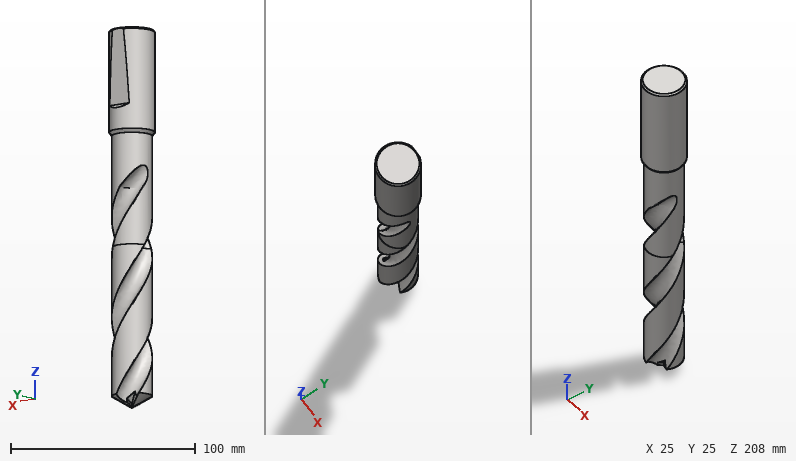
import cadquery as cq
import math

TOTAL_LENGTH = 208.0
CUTTING_LENGTH = 88.5
FLUTE_LENGTH = 120.5

OVERRUN = 2.0

DRILL_RADIUS = 11.0
POINT_ANGLE = 118.0
POINT_HEIGHT = DRILL_RADIUS / math.tan(math.radians(POINT_ANGLE / 2))

SHANK_RADIUS = 12.5
SHANK_LENGTH = 56.0
SHANK_BASE = TOTAL_LENGTH - SHANK_LENGTH
TOP_CHAMFER = 1.0
STEP_HEIGHT = 2.0

FLAT_TILT = 2.0
FLAT_LENGTH = 42.0
FLAT_TOP_DEPTH = 0.6
FLAT_END_DEPTH = FLAT_TOP_DEPTH + FLAT_LENGTH * math.tan(math.radians(FLAT_TILT))

FLUTE_COUNT = 2
FLUTE_PITCH = 110.0
FLUTE_RADIUS = 6.65
FLUTE_CENTRE = DRILL_RADIUS
FLUTE_START_ANGLE = 93.5
RUNOUT_RISE = 12.0
RUNOUT_DRIFT = 11.0
RUNOUT_LIFT = 3.0

GASH_LIP_ANGLE = -29.0
GASH_BACK_ANGLE = -90.0
GASH_CORE_RADIUS = 0.5
GASH_FLOOR_HEIGHT = 1.6
GASH_RISE_X = 1.1
GASH_RISE_Y = 0.6
GASH_REACH = 2 * DRILL_RADIUS
GASH_FLOOR_SPAN = 8 * GASH_REACH


def flute_angle(z):
    """Angle about Z of the first flute's centre at height z."""
    return FLUTE_START_ANGLE + 360.0 * z / FLUTE_PITCH


def flute_cutters():
    """Helix and runout of one right-hand flute; the runout leaves the drill in a straight line."""
    helix_height = FLUTE_LENGTH + OVERRUN
    helix = (
        cq.Workplane("XY")
        .pushPoints([(FLUTE_CENTRE, 0)])
        .circle(FLUTE_RADIUS)
        .twistExtrude(helix_height, 360.0 * helix_height / FLUTE_PITCH)
        .rotate((0, 0, 0), (0, 0, 1), flute_angle(-OVERRUN))
        .translate((0, 0, -OVERRUN))
    )
    runout = (
        cq.Workplane("XY")
        .center(FLUTE_CENTRE, 0)
        .circle(FLUTE_RADIUS)
        .workplane(offset=RUNOUT_RISE)
        .center(RUNOUT_LIFT, RUNOUT_DRIFT)
        .circle(FLUTE_RADIUS)
        .loft(ruled=True)
        .rotate((0, 0, 0), (0, 0, 1), flute_angle(FLUTE_LENGTH))
        .translate((0, 0, FLUTE_LENGTH))
    )
    return [helix, runout]


def cut_around_axis(body, cutters):
    """Remove each cutter once per flute, evenly spaced about Z."""
    for index in range(FLUTE_COUNT):
        for cutter in cutters:
            body = body.cut(cutter.rotate((0, 0, 0), (0, 0, 1), 360.0 * index / FLUTE_COUNT))
    return body


def polar(radius, angle):
    """X and Y of a point at the given radius and angle about Z."""
    return radius * math.cos(math.radians(angle)), radius * math.sin(math.radians(angle))


def gash_cutter():
    """Upright wedge beside the axis, closed above by a floor that rises outwards."""
    apex = polar(GASH_CORE_RADIUS, (GASH_LIP_ANGLE + GASH_BACK_ANGLE) / 2)
    back_x, back_y = polar(GASH_REACH, GASH_BACK_ANGLE)
    lip_x, lip_y = polar(GASH_REACH, GASH_LIP_ANGLE)
    wedge = (
        cq.Workplane("XY")
        .moveTo(*apex)
        .line(back_x, back_y)
        .line(lip_x, lip_y)
        .line(-back_x, -back_y)
        .close()
        .extrude(GASH_REACH)
    )
    floor = cq.Plane(
        origin=(0, 0, GASH_FLOOR_HEIGHT),
        xDir=(1, 0, GASH_RISE_X),
        normal=(-GASH_RISE_X, GASH_RISE_Y, 1),
    )
    below_floor = cq.Workplane(floor).rect(GASH_FLOOR_SPAN, GASH_FLOOR_SPAN).extrude(-GASH_FLOOR_SPAN)
    return wedge.intersect(below_floor)


def clamping_flat():
    """Wedge removed from the shank, closed at its lower end by a 45 degree step."""
    flat_end = TOTAL_LENGTH - FLAT_LENGTH
    return (
        cq.Workplane("YZ")
        .moveTo(SHANK_RADIUS - FLAT_TOP_DEPTH, TOTAL_LENGTH)
        .lineTo(SHANK_RADIUS - FLAT_END_DEPTH, flat_end)
        .lineTo(SHANK_RADIUS + OVERRUN, flat_end - FLAT_END_DEPTH - OVERRUN)
        .lineTo(SHANK_RADIUS + OVERRUN, TOTAL_LENGTH)
        .close()
        .extrude(SHANK_RADIUS, both=True)
    )


def make_cutting_head():
    """Fluted lower body that ends in the ground point."""
    blank = (
        cq.Workplane("XZ")
        .polyline([
            (0, 0),
            (DRILL_RADIUS, POINT_HEIGHT),
            (DRILL_RADIUS, CUTTING_LENGTH),
            (0, CUTTING_LENGTH),
        ])
        .close()
        .revolve(360, (0, 0, 0), (0, 1, 0))
    )
    return cut_around_axis(blank, flute_cutters() + [gash_cutter()])


def make_holder():
    """Upper body: the end of the flutes, the plain neck and the clamping shank."""
    blank = (
        cq.Workplane("XZ")
        .polyline([
            (0, CUTTING_LENGTH),
            (DRILL_RADIUS, CUTTING_LENGTH),
            (DRILL_RADIUS, SHANK_BASE - STEP_HEIGHT),
            (SHANK_RADIUS, SHANK_BASE),
            (SHANK_RADIUS, TOTAL_LENGTH - TOP_CHAMFER),
            (SHANK_RADIUS - TOP_CHAMFER, TOTAL_LENGTH),
            (0, TOTAL_LENGTH),
        ])
        .close()
        .revolve(360, (0, 0, 0), (0, 1, 0))
    )
    return cut_around_axis(blank, flute_cutters()).cut(clamping_flat())


cutting_head = make_cutting_head()
holder = make_holder()

result = cq.Compound.makeCompound([cutting_head.val(), holder.val()])